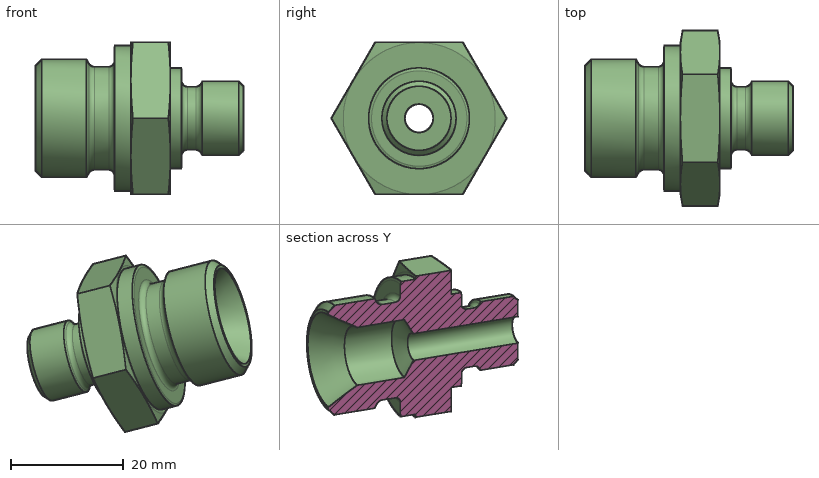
import cadquery as cq
import math

total_length = 37.0
large_thread_end = 9.05
large_collar_start = 14.02
hex_start = 17.0
hex_length = 7.0
small_collar_end = 26.0
small_thread_start = 29.67
hex_end = hex_start + hex_length

large_thread_radius = 10.5
large_groove_radius = 9.18
large_collar_radius = 12.95
small_collar_radius = 8.95
small_groove_radius = 5.62
small_thread_radius = 6.6

large_end_chamfer = 1.2
small_end_chamfer = 0.9
collar_chamfer_length = 0.1
collar_chamfer_depth = 0.48
collar_fillet = 1.0
runout_radius = 1.15
runout_angle = math.radians(60)

hex_across_flats = 27.0
hex_chamfer_angle = math.radians(10)
hex_corner_radius = hex_across_flats / 2 / math.cos(math.radians(30))

mouth_radius = 8.77
pocket_radius = 5.48
mouth_depth = 5.62
pocket_depth = 14.8
floor_angle = math.radians(59)
through_radius = 2.498


def revolve_about_x(profile):
    return profile.close().revolve(360, (0, 0, 0), (1, 0, 0))


def stepped_end(end_x, thread_x, collar_x, base_x, thread_r, groove_r, collar_r, end_chamfer):
    """Threaded spigot, undercut and collar; base_x is the plane where the collar meets the hexagon."""
    inward = math.copysign(1, base_x - end_x)
    arc_height = runout_radius * (1 - math.cos(runout_angle))
    cone_x = thread_x + inward * (thread_r - groove_r - arc_height) / math.tan(runout_angle)
    groove_x = cone_x + inward * runout_radius * math.sin(runout_angle)
    mid_angle = runout_angle / 2
    runout_mid = (
        groove_x - inward * runout_radius * math.sin(mid_angle),
        groove_r + runout_radius * (1 - math.cos(mid_angle)),
    )
    fillet_mid = (
        collar_x - inward * collar_fillet * (1 - math.sqrt(0.5)),
        groove_r + collar_fillet * (1 - math.sqrt(0.5)),
    )
    profile = (
        cq.Workplane("XY")
        .moveTo(end_x, 0)
        .lineTo(end_x, thread_r - end_chamfer)
        .lineTo(end_x + inward * end_chamfer, thread_r)
        .lineTo(thread_x, thread_r)
        .lineTo(cone_x, groove_r + arc_height)
        .threePointArc(runout_mid, (groove_x, groove_r))
        .lineTo(collar_x - inward * collar_fillet, groove_r)
        .threePointArc(fillet_mid, (collar_x, groove_r + collar_fillet))
        .lineTo(collar_x, collar_r - collar_chamfer_depth)
        .lineTo(collar_x + inward * collar_chamfer_length, collar_r)
        .lineTo(base_x, collar_r)
        .lineTo(base_x, 0)
    )
    return revolve_about_x(profile)


def chamfered_hexagon():
    """Hexagon with corners on the Y axis, its corners bevelled at both faces."""
    prism = (
        cq.Workplane("YZ", origin=(hex_start, 0, 0))
        .polygon(6, 2 * hex_corner_radius)
        .extrude(hex_length)
    )
    face_radius = hex_across_flats / 2
    rim_radius = hex_corner_radius + 0.37
    bevel_length = (rim_radius - face_radius) * math.tan(hex_chamfer_angle)
    envelope = (
        cq.Workplane("XY")
        .moveTo(hex_start, 0)
        .lineTo(hex_start, face_radius)
        .lineTo(hex_start + bevel_length, rim_radius)
        .lineTo(hex_end - bevel_length, rim_radius)
        .lineTo(hex_end, face_radius)
        .lineTo(hex_end, 0)
    )
    return prism.intersect(revolve_about_x(envelope))


def bore():
    floor_length = (pocket_radius - through_radius) / math.tan(floor_angle)
    profile = (
        cq.Workplane("XY")
        .moveTo(0, 0)
        .lineTo(0, mouth_radius)
        .lineTo(mouth_depth, pocket_radius)
        .lineTo(pocket_depth, pocket_radius)
        .lineTo(pocket_depth + floor_length, through_radius)
        .lineTo(total_length, through_radius)
        .lineTo(total_length, 0)
    )
    return revolve_about_x(profile)


large_end = stepped_end(
    0, large_thread_end, large_collar_start, hex_start,
    large_thread_radius, large_groove_radius, large_collar_radius, large_end_chamfer,
)
small_end = stepped_end(
    total_length, small_thread_start, small_collar_end, hex_end,
    small_thread_radius, small_groove_radius, small_collar_radius, small_end_chamfer,
)
result = chamfered_hexagon().union(large_end).union(small_end).cut(bore())